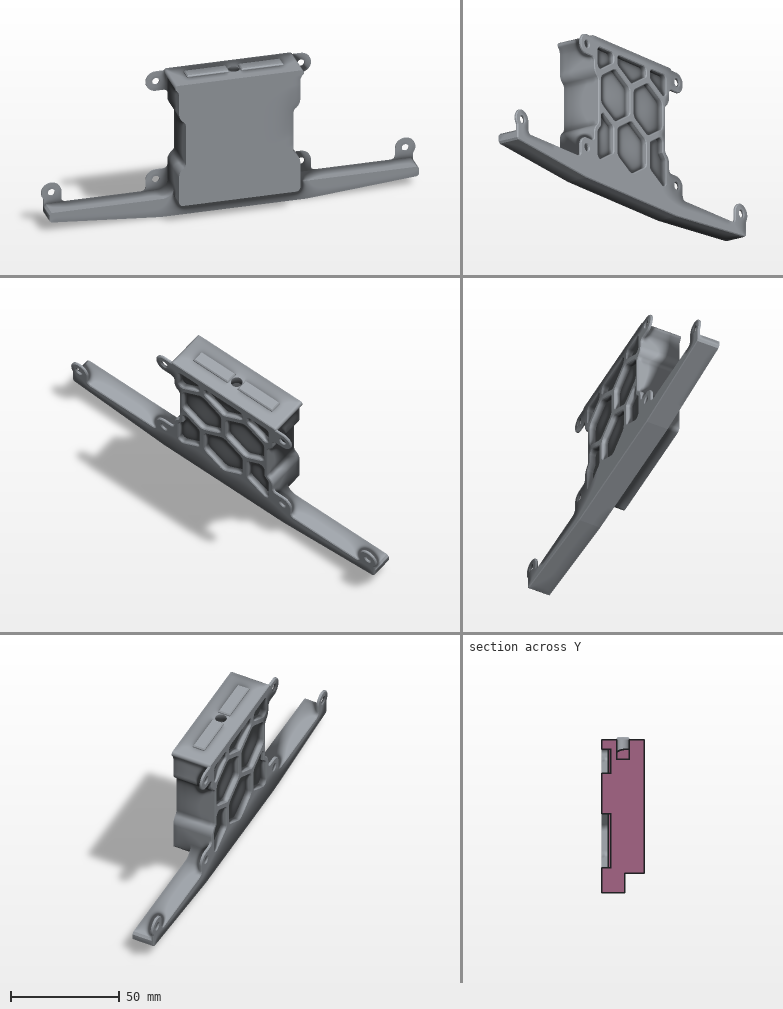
import cadquery as cq
import math


BLOCK_DEPTH = 20.0
ARM_DEPTH = 11.0
EAR_THICKNESS = 1.0
EDGE_CHAMFER = 0.4

RAIL_TOP = 72.0
RAIL_HEIGHT = 1.0
BLOCK_TOP = RAIL_TOP - RAIL_HEIGHT
BLOCK_BOTTOM = 8.8
BOTTOM_RADIUS = 2.0
RIM_HALF_WIDTH = 31.0
RIM_RADIUS = 1.35
SHOULDER_HALF_WIDTH = 29.2
SHOULDER_TOP = 65.3
WAIST_HALF_WIDTH = 26.0
BLEND_HEIGHT = 6.5
BLEND_CONVEX_SHARE = 2 / 3

EAR_RADIUS = 4.9
EAR_HOLE_DIAMETER = 3.5
INNER_EAR_Y = 35.0
OUTER_EAR_Y = 90.0 - EAR_RADIUS
LOWER_EAR_Z = 14.8
UPPER_EAR_Z = 65.2
EAR_FILLET = 2.0
MIDDLE_Z = (LOWER_EAR_Z + UPPER_EAR_Z) / 2
BLEND_START = 16.2

ARM_TOP = 9.2
ARM_END_Y = 89.0
ARM_END_BOTTOM = 4.3
ARM_TOP_CHAMFER = 1.0
ARM_BOTTOM_CHAMFER = 0.9
FLAT_HALF_WIDTH = 35.1
ROOT_RADIUS = 5.4

CELL_PITCH = 25.4
CELL_FLATS = 22.3
CELL_FILLET = 3.2
CLIPPED_FILLET = 2.0
CELL_ROW_HEIGHT = CELL_PITCH * math.sqrt(3) / 2
MIDDLE_ROW_Z = 46.0
PANEL_FIELD_TOP = 66.2
PANEL_FIELD_HALF_WIDTH = 26.5
PANEL_WAIST_HALF_WIDTH = 24.0
PANEL_STEP_BOTTOM = 25.2
PANEL_STEP_TOP = 28.0
PANEL_RECESS = 3.0
PANEL_THICKNESS = 1.0

RAIL_X = BLOCK_DEPTH / 2
RAIL_WIDTH = 6.1
RAIL_INNER_Y = 2.9
RAIL_LENGTH = 20.3
RAIL_CHAMFER = 0.5
PLUG_DIAMETER = 5.4
PLUG_HOLE_DEPTH = 9.0
PLUG_HEIGHT = 4.5
PLUG_ROUND_RADIUS = 8.1
PLUG_ROUND_OFFSET = 1.3


def extrude_mirrored(half_outline, depth):
    """Close a +Y half outline with its mirror image and extrude it back from X = 0."""
    return half_outline.mirrorY().extrude(depth)


def block():
    """Deep central block: beaded top rim, shoulders and a narrow waist."""
    bead_y = RIM_HALF_WIDTH - RIM_RADIUS
    bead_z = BLOCK_TOP - RIM_RADIUS
    inset = SHOULDER_HALF_WIDTH - bead_y
    drop = bead_z - SHOULDER_TOP
    cove_radius = (inset**2 + drop**2 - RIM_RADIUS**2) / (2 * (RIM_RADIUS - inset))
    bead_share = RIM_RADIUS / (RIM_RADIUS + cove_radius)
    cove_start = (bead_y + bead_share * (inset + cove_radius), bead_z - bead_share * drop)

    wide, narrow = SHOULDER_HALF_WIDTH, WAIST_HALF_WIDTH
    turn_y = wide - BLEND_CONVEX_SHARE * (wide - narrow)
    turn_offset = BLEND_START - BLEND_CONVEX_SHARE * BLEND_HEIGHT
    waist_offset = BLEND_START - BLEND_HEIGHT
    half = (
        cq.Workplane("YZ")
        .moveTo(0, BLOCK_TOP)
        .lineTo(bead_y, BLOCK_TOP)
        .threePointArc((RIM_HALF_WIDTH, bead_z), cove_start)
        .tangentArcPoint((wide, SHOULDER_TOP), relative=False)
        .lineTo(wide, MIDDLE_Z + BLEND_START)
        .tangentArcPoint((turn_y, MIDDLE_Z + turn_offset), relative=False)
        .tangentArcPoint((narrow, MIDDLE_Z + waist_offset), relative=False)
        .lineTo(narrow, MIDDLE_Z - waist_offset)
        .tangentArcPoint((turn_y, MIDDLE_Z - turn_offset), relative=False)
        .tangentArcPoint((wide, MIDDLE_Z - BLEND_START), relative=False)
        .lineTo(wide, BLOCK_BOTTOM + BOTTOM_RADIUS)
        .tangentArcPoint((wide - BOTTOM_RADIUS, BLOCK_BOTTOM), relative=False)
        .lineTo(0, BLOCK_BOTTOM)
    )
    return extrude_mirrored(half, BLOCK_DEPTH)


def arms():
    """Two arms that taper to their ends and blend up into the block."""
    half = (
        cq.Workplane("YZ")
        .moveTo(0, ARM_TOP + ROOT_RADIUS)
        .lineTo(SHOULDER_HALF_WIDTH, ARM_TOP + ROOT_RADIUS)
        .radiusArc((SHOULDER_HALF_WIDTH + ROOT_RADIUS, ARM_TOP), -ROOT_RADIUS)
        .lineTo(ARM_END_Y - ARM_TOP_CHAMFER, ARM_TOP)
        .lineTo(ARM_END_Y, ARM_TOP - ARM_TOP_CHAMFER)
        .lineTo(ARM_END_Y, ARM_END_BOTTOM + ARM_BOTTOM_CHAMFER)
        .lineTo(ARM_END_Y - ARM_BOTTOM_CHAMFER, ARM_END_BOTTOM)
        .lineTo(FLAT_HALF_WIDTH, 0)
        .lineTo(0, 0)
    )
    return extrude_mirrored(half, ARM_DEPTH)


def upper_ears():
    """Thin plate with the two ears beside the top of the block."""
    ear_top = UPPER_EAR_Z + EAR_RADIUS
    ear_bottom = UPPER_EAR_Z - EAR_RADIUS
    half = (
        cq.Workplane("YZ")
        .moveTo(0, ear_top)
        .lineTo(INNER_EAR_Y, ear_top)
        .threePointArc((INNER_EAR_Y + EAR_RADIUS, UPPER_EAR_Z), (INNER_EAR_Y, ear_bottom))
        .lineTo(SHOULDER_HALF_WIDTH + EAR_FILLET, ear_bottom)
        .tangentArcPoint((SHOULDER_HALF_WIDTH, ear_bottom - EAR_FILLET), relative=False)
        .lineTo(0, ear_bottom - EAR_FILLET)
    )
    return extrude_mirrored(half, EAR_THICKNESS)


def lower_ears():
    """Thin plate with the four ears that stand on the arms."""
    ear_top = LOWER_EAR_Z + EAR_RADIUS
    inner_side = INNER_EAR_Y + EAR_RADIUS
    outer_side = OUTER_EAR_Y - EAR_RADIUS
    end_offset = ARM_END_Y - OUTER_EAR_Y
    end_z = LOWER_EAR_Z - math.sqrt(EAR_RADIUS**2 - end_offset**2)
    low_z = ARM_END_BOTTOM + ARM_BOTTOM_CHAMFER
    half = (
        cq.Workplane("YZ")
        .moveTo(0, ear_top + EAR_FILLET)
        .lineTo(SHOULDER_HALF_WIDTH, ear_top + EAR_FILLET)
        .radiusArc((SHOULDER_HALF_WIDTH + EAR_FILLET, ear_top), -EAR_FILLET)
        .lineTo(INNER_EAR_Y, ear_top)
        .tangentArcPoint((inner_side, LOWER_EAR_Z), relative=False)
        .lineTo(inner_side, ARM_TOP + EAR_FILLET)
        .tangentArcPoint((inner_side + EAR_FILLET, ARM_TOP), relative=False)
        .lineTo(outer_side - EAR_FILLET, ARM_TOP)
        .tangentArcPoint((outer_side, ARM_TOP + EAR_FILLET), relative=False)
        .lineTo(outer_side, LOWER_EAR_Z)
        .tangentArcPoint((OUTER_EAR_Y, ear_top), relative=False)
        .tangentArcPoint((ARM_END_Y, end_z), relative=False)
        .lineTo(ARM_END_Y, low_z)
        .lineTo(0, low_z)
    )
    return extrude_mirrored(half, EAR_THICKNESS)


def ear_holes():
    """Cutters for the screw holes through the six ears."""
    centers = [(side * INNER_EAR_Y, UPPER_EAR_Z) for side in (-1, 1)]
    centers += [(side * y, LOWER_EAR_Z) for side in (-1, 1) for y in (INNER_EAR_Y, OUTER_EAR_Y)]
    return cq.Workplane("YZ").pushPoints(centers).circle(EAR_HOLE_DIAMETER / 2).extrude(ARM_DEPTH)


def rails():
    """Two bevelled rails in line on the top face."""
    center_y = RAIL_INNER_Y + RAIL_LENGTH / 2
    return (
        cq.Workplane("XY", origin=(0, 0, BLOCK_TOP))
        .pushPoints([(RAIL_X, -center_y), (RAIL_X, center_y)])
        .rect(RAIL_WIDTH, RAIL_LENGTH)
        .extrude(RAIL_HEIGHT)
        .faces(">Z")
        .chamfer(RAIL_CHAMFER)
    )


def panel_field(depth):
    """Prism over the area of the front face that the panels may cover."""
    half = (
        cq.Workplane("YZ")
        .moveTo(0, PANEL_FIELD_TOP)
        .lineTo(PANEL_FIELD_HALF_WIDTH, PANEL_FIELD_TOP)
        .lineTo(PANEL_FIELD_HALF_WIDTH, MIDDLE_Z)
        .lineTo(PANEL_WAIST_HALF_WIDTH, MIDDLE_Z)
        .lineTo(PANEL_WAIST_HALF_WIDTH, PANEL_STEP_TOP)
        .lineTo(PANEL_FIELD_HALF_WIDTH, PANEL_STEP_BOTTOM)
        .lineTo(PANEL_FIELD_HALF_WIDTH, 0)
        .lineTo(0, 0)
    )
    return extrude_mirrored(half, depth)


def panel_prisms(depth):
    """Eight rounded honeycomb prisms from X = 0 back to the given depth."""
    upper_z = MIDDLE_ROW_Z + CELL_ROW_HEIGHT
    lower_z = MIDDLE_ROW_Z - CELL_ROW_HEIGHT
    centers = [(side * CELL_PITCH / 2, MIDDLE_ROW_Z) for side in (-1, 1)]
    centers += [(side * CELL_PITCH, z) for side in (-1, 0, 1) for z in (upper_z, lower_z)]
    field = panel_field(depth)
    prisms = []
    for y, z in centers:
        corner_radius = CELL_FLATS / math.sqrt(3)
        cell = cq.Workplane("YZ").center(y, z).transformed(rotate=(0, 0, 90))
        cell = cell.polygon(6, 2 * corner_radius).extrude(depth)
        whole = abs(y) < CELL_PITCH and z < upper_z
        radius = CELL_FILLET if whole else CLIPPED_FILLET
        outline = cell.intersect(field).faces("<X").wires().val()
        shrunk = outline.offset2D(-radius, "intersection")[0]
        rounded = shrunk.offset2D(radius, "arc")[0]
        prisms.append(cq.Workplane("YZ").newObject([rounded]).toPending().extrude(depth))
    return prisms


def housing():
    """Block, arms, ears and rails as one solid, with the panel and plug recesses."""
    body = block().union(arms()).union(upper_ears()).union(lower_ears()).cut(ear_holes()).clean()
    for pocket in panel_prisms(PANEL_RECESS + PANEL_THICKNESS):
        body = body.cut(pocket)
    body = body.faces("<X").edges().chamfer(EDGE_CHAMFER)
    plug_hole = (
        cq.Workplane("XY", origin=(RAIL_X, 0, BLOCK_TOP - PLUG_HOLE_DEPTH))
        .circle(PLUG_DIAMETER / 2)
        .extrude(PLUG_HOLE_DEPTH)
    )
    return body.union(rails()).cut(plug_hole)


def panels():
    """Eight flat panels that fill the bottoms of the honeycomb pockets."""
    behind = cq.Workplane("YZ").rect(180, 180).extrude(PANEL_RECESS)
    return [prism.cut(behind) for prism in panel_prisms(PANEL_RECESS + PANEL_THICKNESS)]


def plug():
    """Round plug at the bottom of the top hole, its top rounded off towards the front face."""
    base_z = BLOCK_TOP - PLUG_HOLE_DEPTH
    radius = PLUG_DIAMETER / 2
    round_center_z = PLUG_HEIGHT - PLUG_ROUND_RADIUS
    front_run = PLUG_ROUND_OFFSET + radius
    front_z = round_center_z + math.sqrt(PLUG_ROUND_RADIUS**2 - front_run**2)
    pin = cq.Workplane("XY", origin=(RAIL_X, 0, base_z)).circle(radius).extrude(PLUG_HEIGHT)
    rounded = (
        cq.Workplane("XZ", origin=(RAIL_X, 0, base_z))
        .moveTo(radius, 0)
        .lineTo(radius, PLUG_HEIGHT)
        .lineTo(PLUG_ROUND_OFFSET, PLUG_HEIGHT)
        .tangentArcPoint((-radius, front_z), relative=False)
        .lineTo(-radius, 0)
        .close()
        .extrude(radius, both=True)
    )
    return pin.intersect(rounded)


result = cq.Compound.makeCompound([housing().val(), *[p.val() for p in panels()], plug().val()])